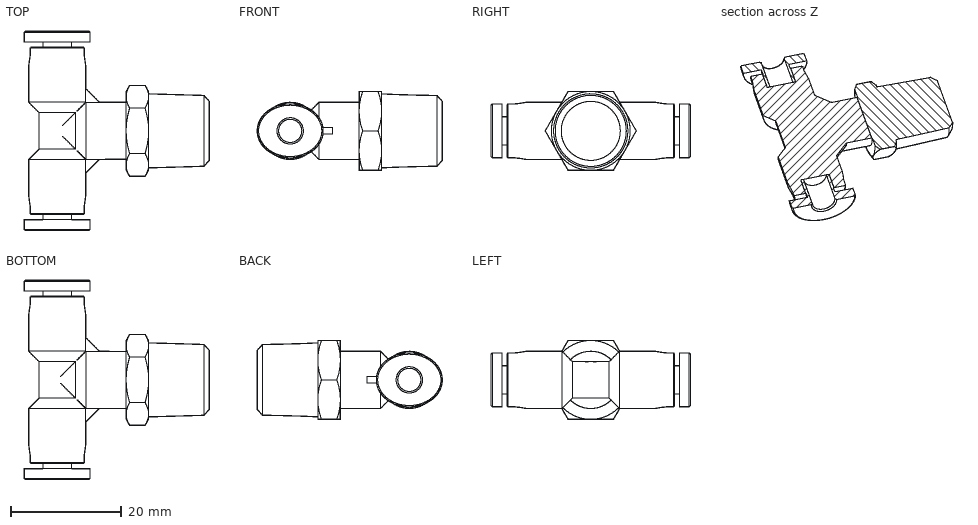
import cadquery as cq
import math


body_radius = 10.4 / 2
neck_radius = 3.33
taper_start = 11.75
collar_start = 13.83
port_end = 15.15
collar_radius = 9.8 / 2
collar_chamfer = 0.18
branch_end = 12.5
rib_thickness = 1.15
rib_reach = 12.85
rib_root = 3.62

button_end = 18.1
button_thickness = 2.03
button_width = 12.0
button_height = 9.8
button_chamfer = 0.25
stem_radius = 5.2 / 2
stem_inner_end = taper_start
bore_radius = 4.2 / 2
bore_chamfer = 0.3

hex_across_flats = 14.3
hex_length = 4.1
hex_corner_radius = hex_across_flats / math.sqrt(3)
hex_face_radius = hex_across_flats / 2
hex_bevel_slope = math.tan(math.radians(30))
hex_end = branch_end + hex_length
stud_end = 27.6
thread_start_radius = 6.75
thread_end_radius = 6.45
thread_chamfer_length = 0.98
thread_tip_radius = 5.35


def revolve_about_x(profile):
    """Revolve a closed list of (x, radius) points about the X axis."""
    return cq.Workplane("XY").polyline(profile).close().revolve(360, (0, 0), (1, 0))


def make_run():
    """Port body along Y, with a narrow waist at the middle."""
    half_profile = [
        (neck_radius, neck_radius),
        (body_radius, body_radius),
        (body_radius, taper_start),
        (collar_radius, collar_start),
        (collar_radius, port_end - collar_chamfer),
        (collar_radius - collar_chamfer, port_end),
        (0, port_end),
    ]
    mirrored = [(radius, -y) for radius, y in reversed(half_profile)]
    profile = mirrored + half_profile
    return cq.Workplane("XY").polyline(profile).close().revolve(360, (0, 0), (0, 1))


def make_branch():
    """Branch along +X, with the same neck and cone as the run."""
    return revolve_about_x([
        (0, 0),
        (0, neck_radius),
        (neck_radius, neck_radius),
        (body_radius, body_radius),
        (branch_end, body_radius),
        (branch_end, 0),
    ])


def make_rib(side):
    """Triangular gusset in the corner between the branch and one port."""
    tip = rib_reach - rib_root
    corners = [(rib_root, side * rib_root), (tip, side * rib_root), (rib_root, side * tip)]
    return cq.Workplane("XY").polyline(corners).close().extrude(rib_thickness / 2, both=True)


def port_plane(side, distance):
    """Plane across a port, facing outward along side * Y."""
    return cq.Workplane(cq.Plane((0, side * distance, 0), (1, 0, 0), (0, side, 0)))


def make_housing():
    housing = make_run().union(make_branch())
    for side in (-1, 1):
        stem_recess = port_plane(side, stem_inner_end).circle(stem_radius).extrude(port_end - stem_inner_end)
        housing = housing.union(make_rib(side)).cut(stem_recess)
    return housing


def make_button(side):
    """Oval release button on a round stem, bored through."""
    inner_face = button_end - button_thickness
    head = (
        port_plane(side, inner_face)
        .ellipse(button_width / 2, button_height / 2)
        .extrude(button_thickness)
        .faces(">Y" if side > 0 else "<Y")
        .chamfer(button_chamfer)
    )
    stem = port_plane(side, stem_inner_end).circle(stem_radius).extrude(inner_face - stem_inner_end)
    bore = port_plane(side, stem_inner_end).circle(bore_radius).extrude(button_end - stem_inner_end)
    countersink = (
        port_plane(side, button_end - bore_chamfer)
        .circle(bore_radius)
        .workplane(offset=bore_chamfer)
        .circle(bore_radius + bore_chamfer)
        .loft()
    )
    return head.union(stem).cut(bore).cut(countersink)


def make_hex():
    """Hexagon with flats on top and bottom, its corners bevelled at both ends."""
    prism = (
        cq.Workplane("YZ", origin=(branch_end, 0, 0))
        .polygon(6, 2 * hex_corner_radius)
        .extrude(hex_length)
    )
    bevel_length = (hex_corner_radius - hex_face_radius) * hex_bevel_slope
    bevel_envelope = revolve_about_x([
        (branch_end, 0),
        (branch_end, hex_face_radius),
        (branch_end + bevel_length, hex_corner_radius),
        (hex_end - bevel_length, hex_corner_radius),
        (hex_end, hex_face_radius),
        (hex_end, 0),
    ])
    return prism.intersect(bevel_envelope)


def make_stud():
    """Hexagon and tapered thread blank with a chamfered tip."""
    thread = revolve_about_x([
        (hex_end, 0),
        (hex_end, thread_start_radius),
        (stud_end - thread_chamfer_length, thread_end_radius),
        (stud_end, thread_tip_radius),
        (stud_end, 0),
    ])
    return make_hex().union(thread)


housing = make_housing()
stud = make_stud()
buttons = [make_button(side) for side in (-1, 1)]

result = cq.Compound.makeCompound([
    housing.val(),
    stud.val(),
    *[button.val() for button in buttons],
])